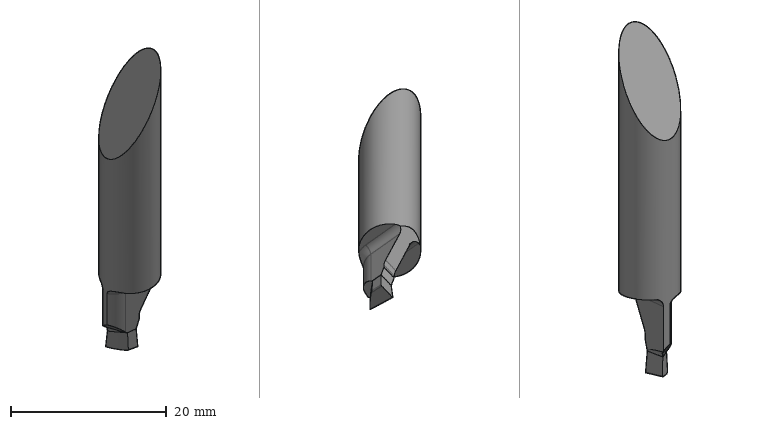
import cadquery as cq
import math

LENGTH = 46.2
DIAMETER = 8.0
RADIUS = DIAMETER / 2
SLANT_ANGLE = 30.0
SLANT_SLOPE = 1 / math.tan(math.radians(SLANT_ANGLE))
CLEAR = 6.95

SHOULDER_Z = 11.0
SHOULDER_FILLET = 1.0
BLADE_LEFT = -0.485
BLADE_RIGHT = 1.595
ARC_RADIUS = 2.6
ARC_CENTER_Y = -1.85
ARC_CENTER_X = BLADE_RIGHT - ARC_RADIUS

BACK_TOP_Z = 11.78
BACK_FILLET = 2.0
BACK_Y = 0.345
BACK_BEND_Z = 4.4

TIP_TOP_Z = 3.0
TIP_FRONT_X = -0.25
TIP_FRONT_Y = -3.4
TIP_BACK_Y = -0.15
TIP_ARC_X = 0.75
TIP_ARC_Y = -2.45
TIP_ARC_END_Y = -1.52
FLARE = 0.2
FLARE_BACK = 0.15
CORNER_FILLET = 0.15
END_RISE = 0.1
CHIP_RADIUS = 1.35

BEVEL_POINT = (0.485, -3.95, 4.75)
BEVEL_NORMAL = (-0.76, 1.1, 1.0)


def rod():
    """Cylinder whose upper end is a plane slanted towards -Y."""
    outline = (
        cq.Workplane("YZ")
        .moveTo(-RADIUS, TIP_TOP_Z)
        .lineTo(RADIUS, TIP_TOP_Z)
        .lineTo(RADIUS, LENGTH)
        .lineTo(-RADIUS, LENGTH - DIAMETER * SLANT_SLOPE)
        .close()
        .extrude(RADIUS, both=True)
    )
    return cq.Workplane("XY").circle(RADIUS).extrude(LENGTH).intersect(outline)


def left_shoulder():
    """Cutter that leaves the flat side of the blade."""
    return (
        cq.Workplane("XY")
        .box(CLEAR, 2 * CLEAR, SHOULDER_Z, centered=(False, True, False))
        .translate((BLADE_LEFT - CLEAR, 0, 0))
        .edges(">X and >Z")
        .fillet(SHOULDER_FILLET)
    )


def right_shoulder():
    """Cutter that leaves the flat and rounded flank of the blade."""
    diagonal = ARC_RADIUS * math.sqrt(0.5)
    cutter = (
        cq.Workplane("XY")
        .moveTo(ARC_CENTER_X, ARC_CENTER_Y - ARC_RADIUS)
        .threePointArc(
            (ARC_CENTER_X + diagonal, ARC_CENTER_Y - diagonal),
            (BLADE_RIGHT, ARC_CENTER_Y),
        )
        .lineTo(BLADE_RIGHT, CLEAR)
        .lineTo(CLEAR, CLEAR)
        .lineTo(CLEAR, -CLEAR)
        .lineTo(ARC_CENTER_X, -CLEAR)
        .close()
        .extrude(SHOULDER_Z)
    )
    flank_edges = cutter.faces(">Z").edges(
        cq.selectors.BoxSelector(
            (ARC_CENTER_X, ARC_CENTER_Y - ARC_RADIUS, 0),
            (BLADE_RIGHT + SHOULDER_FILLET, CLEAR - SHOULDER_FILLET, LENGTH),
        )
    )
    return flank_edges.fillet(SHOULDER_FILLET)


def back_relief():
    """Cutter for the slanted, rounded and tapered +Y side of the blade."""
    angle = math.radians(SLANT_ANGLE)
    arc_end_y = BACK_Y + BACK_FILLET * (1 - math.cos(angle))
    arc_end_z = BACK_TOP_Z - (RADIUS - arc_end_y) * SLANT_SLOPE
    arc_start_z = arc_end_z - BACK_FILLET * math.sin(angle)
    arc_mid = (
        BACK_Y + BACK_FILLET * (1 - math.cos(angle / 2)),
        arc_start_z + BACK_FILLET * math.sin(angle / 2),
    )
    return (
        cq.Workplane("YZ")
        .moveTo(TIP_BACK_Y, TIP_TOP_Z)
        .lineTo(BACK_Y, BACK_BEND_Z)
        .lineTo(BACK_Y, arc_start_z)
        .threePointArc(arc_mid, (arc_end_y, arc_end_z))
        .lineTo(RADIUS, BACK_TOP_Z)
        .lineTo(CLEAR, BACK_TOP_Z)
        .lineTo(CLEAR, TIP_TOP_Z)
        .close()
        .extrude(CLEAR, both=True)
    )


def front_bevel():
    """Cutter below the bevel plane, stopping at the rounded front above the tip."""
    bevel_plane = cq.Plane(origin=BEVEL_POINT, normal=BEVEL_NORMAL)
    below = cq.Workplane(bevel_plane).rect(4 * CLEAR, 4 * CLEAR).extrude(-CLEAR)
    neck = (
        cq.Workplane("XY")
        .moveTo(-CLEAR, TIP_FRONT_Y)
        .lineTo(TIP_FRONT_X, TIP_FRONT_Y)
        .threePointArc((TIP_ARC_X, TIP_ARC_Y), (BLADE_RIGHT, TIP_ARC_END_Y))
        .lineTo(BLADE_RIGHT, CLEAR)
        .lineTo(-CLEAR, CLEAR)
        .close()
        .extrude(SHOULDER_Z)
    )
    return below.cut(neck)


def chip_relief():
    """Concave run-out from the inclined rake face to the flat side of the blade."""
    rake_angle = math.degrees(
        math.atan2(TIP_FRONT_X - BLADE_LEFT, TIP_BACK_Y - TIP_FRONT_Y)
    )
    return (
        cq.Workplane("XZ")
        .center(-CHIP_RADIUS, TIP_TOP_Z)
        .circle(CHIP_RADIUS)
        .extrude(CLEAR)
        .rotate((0, 0, 0), (0, 0, 1), rake_angle)
        .translate((BLADE_LEFT, TIP_BACK_Y, 0))
    )


def make_shank():
    return (
        rod()
        .cut(left_shoulder())
        .cut(right_shoulder())
        .cut(back_relief())
        .cut(front_bevel())
        .cut(chip_relief())
    )


def tip_outline(plane, flare, back_growth):
    """Closed tip section, widened by flare on its sides and front."""
    return (
        plane
        .moveTo(BLADE_LEFT - flare, TIP_BACK_Y + back_growth)
        .lineTo(TIP_FRONT_X - flare, TIP_FRONT_Y - flare)
        .threePointArc(
            (TIP_ARC_X + flare / 2, TIP_ARC_Y - flare),
            (BLADE_RIGHT + flare, TIP_ARC_END_Y),
        )
        .lineTo(BLADE_RIGHT + flare, TIP_BACK_Y + back_growth)
        .close()
    )


def make_tip():
    """Flared tip with an inclined rake face and an inclined end face."""
    end = tip_outline(cq.Workplane("XY"), FLARE, FLARE_BACK)
    body = tip_outline(end.workplane(offset=TIP_TOP_Z), 0, 0).loft(ruled=True)
    end_y = TIP_BACK_Y + FLARE_BACK
    end_cutter = (
        cq.Workplane("YZ")
        .moveTo(end_y, 0)
        .lineTo(end_y - CLEAR, CLEAR * END_RISE)
        .lineTo(end_y - CLEAR, -CLEAR)
        .lineTo(end_y, -CLEAR)
        .close()
        .extrude(CLEAR, both=True)
    )
    cut_body = body.cut(end_cutter)
    return cut_body.faces("<Z").edges("<X or >X").fillet(CORNER_FILLET)


shank = make_shank()
tip = make_tip()
result = cq.Compound.makeCompound([shank.val(), tip.val()])